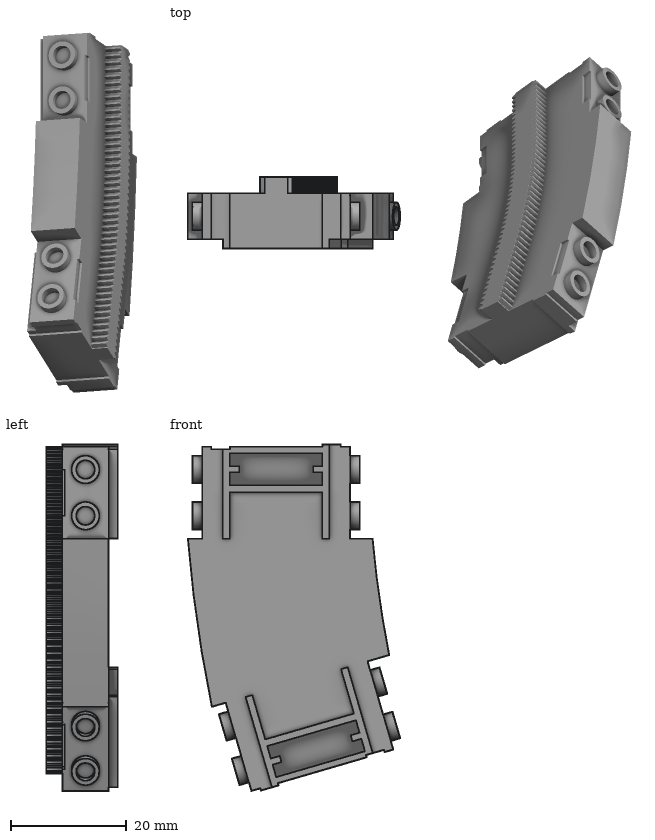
import cadquery as cq
import math


BEND_ANGLE = 2 * math.degrees(math.atan(1 / 7))
OUTER_RADIUS = 104.0
INNER_RADIUS = 72.0
OUTER_WALL_BOW = 240.0
INNER_WALL_BOW = 190.0
BODY_DEPTH = 8.0

STUB_WIDTH = 25.6
STUB_LENGTH = 15.9
OUTER_SHOULDER = 2.5
HALF_STUB = STUB_WIDTH / 2
TRACK_RADIUS = OUTER_RADIUS - OUTER_SHOULDER - HALF_STUB
TOP_SIDE = 1
BOTTOM_SIDE = -1

STEP_HEIGHT = 0.4
STEP_INSET = 1.6
STEP_WIDTH = 3.2

FRAME_HEIGHT = 1.6
FRAME_WALL = 1.2
FRAME_INNER_WIDTH = STUB_WIDTH - 2 * (STEP_INSET + STEP_WIDTH)
FRAME_OUTER_WIDTH = FRAME_INNER_WIDTH + 2 * FRAME_WALL
CROSS_WALL_START = 8.0

POCKET_START = CROSS_WALL_START + FRAME_WALL
POCKET_LENGTH = 5.6
POCKET_FLOOR = 1.6
POCKET_BOTTOM = BODY_DEPTH - POCKET_FLOOR
PEG_LENGTH = 1.6
PEG_WIDTH = 1.1

STUD_DIAMETER = 4.8
STUD_BORE = 3.2
STUD_HEIGHT = 1.69
STUD_PITCH = 8.0
STUD_POSITIONS = (STUB_LENGTH / 2 - STUD_PITCH / 2, STUB_LENGTH / 2 + STUD_PITCH / 2)

RECESS_DEPTH = 0.4
RECESS_WIDTH = 1.6

RACK_HEIGHT = 2.8
RACK_HALF_WIDTH = 2.0
TOOTH_HEIGHT = 0.8
STUB_TEETH = 13
CURVE_TEETH = 21
TOTAL_TEETH = CURVE_TEETH + 2 * STUB_TEETH
TOOTH_PITCH = STUB_LENGTH / STUB_TEETH


def block(x_min, x_max, y_min, y_max, z_min, z_max):
    """Axis-aligned block between the given limits."""
    size = (x_max - x_min, y_max - y_min, z_max - z_min)
    return cq.Workplane("XY").box(*size, centered=False).translate((x_min, y_min, z_min))


def centred_block(width, y_min, y_max, z_min, z_max):
    """Block of the given width, centred on x = 0."""
    return block(-width / 2, width / 2, y_min, y_max, z_min, z_max)


def curve_point(radius, angle):
    """XZ point at an angle down the curve, in degrees from the top joint."""
    turn = math.radians(angle)
    return (TRACK_RADIUS - radius * math.cos(turn), -radius * math.sin(turn))


def extrude_back(outline, y_start, depth):
    """Extrude a closed XZ outline towards +Y from y_start."""
    return outline.extrude(-depth).translate((0, y_start, 0))


def to_bottom_end(stub):
    """Mirror a top stub below the joint and swing it to the end of the curve."""
    axis_start = (TRACK_RADIUS, 0, 0)
    axis_end = (TRACK_RADIUS, 1, 0)
    return stub.mirror("XY").rotate(axis_start, axis_end, -BEND_ANGLE)


def curved_body():
    """Body between the stubs; its side walls bow less than the bend of the track."""
    outline = (
        cq.Workplane("XZ")
        .moveTo(*curve_point(OUTER_RADIUS, 0))
        .radiusArc(curve_point(OUTER_RADIUS, BEND_ANGLE), -OUTER_WALL_BOW)
        .lineTo(*curve_point(INNER_RADIUS, BEND_ANGLE))
        .radiusArc(curve_point(INNER_RADIUS, 0), INNER_WALL_BOW)
        .close()
    )
    return extrude_back(outline, 0, BODY_DEPTH)


def stub_frame():
    """Two side rails, a cross wall and an end wall on the front face."""
    frame = centred_block(FRAME_OUTER_WIDTH, -FRAME_HEIGHT, 0, 0, STUB_LENGTH)
    opening = centred_block(FRAME_INNER_WIDTH, -FRAME_HEIGHT, 0, 0, CROSS_WALL_START)
    return frame.cut(opening)


def stub_pocket():
    """Pocket between the frame walls, narrowed by the two pegs."""
    pocket_end = POCKET_START + POCKET_LENGTH
    peg_centre = (POCKET_START + pocket_end) / 2
    pocket = centred_block(FRAME_INNER_WIDTH, -FRAME_HEIGHT, POCKET_BOTTOM, POCKET_START, pocket_end)
    peg_z = (peg_centre - PEG_WIDTH / 2, peg_centre + PEG_WIDTH / 2)
    pegs = centred_block(FRAME_INNER_WIDTH, -FRAME_HEIGHT, POCKET_BOTTOM, *peg_z)
    peg_gap = centred_block(FRAME_INNER_WIDTH - 2 * PEG_LENGTH, -FRAME_HEIGHT, POCKET_BOTTOM, *peg_z)
    return pocket.cut(pegs.cut(peg_gap))


def end_step(side, z_min, z_max):
    """Block at the stub end, on the inner (+1) or outer (-1) side of the curve."""
    far = side * (HALF_STUB - STEP_INSET)
    near = side * FRAME_INNER_WIDTH / 2
    step = block(min(near, far), max(near, far), 0, BODY_DEPTH, z_min, z_max)
    rail_edge = side * FRAME_OUTER_WIDTH / 2
    rail = block(min(near, rail_edge), max(near, rail_edge), -FRAME_HEIGHT, 0, z_min, z_max)
    return step.union(rail)


def stud(side, z):
    """Hollow stud on the +X (+1) or -X (-1) side of a stub."""
    tube = (
        cq.Workplane("YZ")
        .center(BODY_DEPTH / 2, z)
        .circle(STUD_DIAMETER / 2)
        .circle(STUD_BORE / 2)
        .extrude(side * STUD_HEIGHT)
    )
    return tube.translate((side * HALF_STUB, 0, 0))


def edge_recesses():
    """Recess on each side of a stub, cut into its back edge."""
    recess_floor = BODY_DEPTH - RECESS_DEPTH
    middle_width = STUB_WIDTH - 2 * RECESS_WIDTH
    full_strip = centred_block(STUB_WIDTH, recess_floor, BODY_DEPTH, *STUD_POSITIONS)
    middle = centred_block(middle_width, recess_floor, BODY_DEPTH, *STUD_POSITIONS)
    return full_strip.cut(middle)


def end_stub(raised_side):
    """Top stub whose end step is raised on one side and sunk on the other."""
    stub = centred_block(STUB_WIDTH, 0, BODY_DEPTH, 0, STUB_LENGTH)
    stub = stub.union(stub_frame()).cut(stub_pocket())
    stub = stub.union(end_step(raised_side, STUB_LENGTH, STUB_LENGTH + STEP_HEIGHT))
    stub = stub.cut(end_step(-raised_side, STUB_LENGTH - STEP_HEIGHT, STUB_LENGTH))
    stub = stub.cut(edge_recesses())
    for side in (-1, 1):
        for z in STUD_POSITIONS:
            stub = stub.union(stud(side, z))
    return stub


def rack_point(teeth_along, offset):
    """XZ point a number of teeth down the rack, offset outwards from its centre line."""
    radius = TRACK_RADIUS + offset
    past_stub = teeth_along - STUB_TEETH
    past_curve = past_stub - CURVE_TEETH
    if past_stub <= 0:
        return (-offset, -past_stub * TOOTH_PITCH)
    if past_curve <= 0:
        return curve_point(radius, BEND_ANGLE * past_stub / CURVE_TEETH)
    x, z = curve_point(radius, BEND_ANGLE)
    bend = math.radians(BEND_ANGLE)
    distance = past_curve * TOOTH_PITCH
    return (x + distance * math.sin(bend), z - distance * math.cos(bend))


def rack_side(side):
    """Toothed edge from the top end down, on the outer (+1) or inner (-1) side."""
    root = side * RACK_HALF_WIDTH
    tip = side * (RACK_HALF_WIDTH + TOOTH_HEIGHT)
    profile = ((1 / 8, root), (3 / 8, tip), (5 / 8, tip), (7 / 8, root))
    points = [rack_point(0, root)]
    for tooth in range(TOTAL_TEETH):
        for fraction, offset in profile:
            points.append(rack_point(tooth + fraction, offset))
    points.append(rack_point(TOTAL_TEETH, root))
    return points


def rack():
    """Rack on the back face, toothed on both sides."""
    outline = rack_side(1) + rack_side(-1)[::-1]
    profile = cq.Workplane("XZ").polyline(outline).close()
    return extrude_back(profile, BODY_DEPTH, RACK_HEIGHT)


result = (
    curved_body()
    .union(end_stub(TOP_SIDE))
    .union(to_bottom_end(end_stub(BOTTOM_SIDE)))
    .union(rack())
)